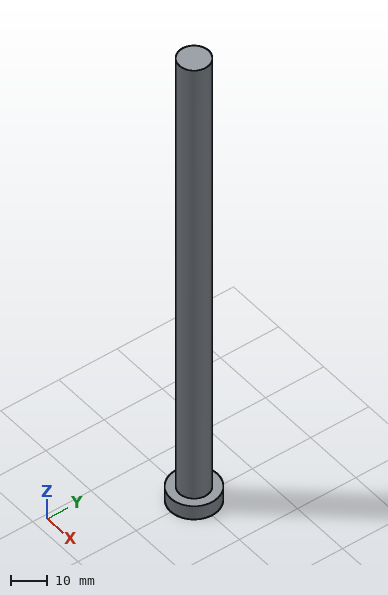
import cadquery as cq

overall_length = 165.0
head_diameter = 16.0
head_height = 5.0
shank_diameter = 10.0
shank_length = overall_length - head_height


def make_head():
    """Flat round head at the bottom of the pin."""
    return cq.Workplane("XY").circle(head_diameter / 2).extrude(head_height)


def make_shank():
    """Plain cylindrical shank rising from the top face of the head."""
    return (
        cq.Workplane("XY")
        .workplane(offset=head_height)
        .circle(shank_diameter / 2)
        .extrude(shank_length)
    )


result = make_head().union(make_shank())